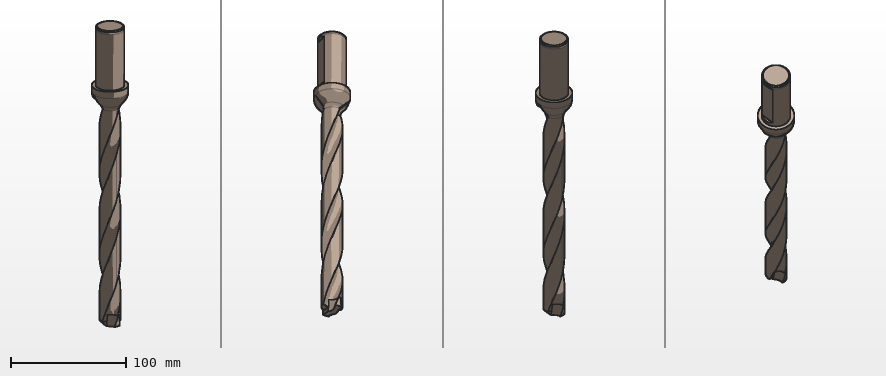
import cadquery as cq
import math

TOTAL_LENGTH = 282.0
FLANGE_TOP = 226.5
FLANGE_RIM_BOTTOM = 220.5
FLUTE_TOP = 206.1
BODY_RIM = 6.8
INSERT_TOP = 12.0
INSERT_CORNER = 2.8

SHANK_DIAMETER = 25.0
FLANGE_DIAMETER = 32.0
BODY_DIAMETER = 18.5
INSERT_DIAMETER = 20.0

SHANK_CHAMFER = 1.0
LEAD_IN_LENGTH = 2.8
LEAD_IN_DEPTH = 0.15
FLAT_DEPTH = 1.7
FLAT_TOP = 279.0
FLAT_BOTTOM = 229.5

CONE_BOTTOM_RADIUS = 10.7
CONE_BOTTOM = 210.0
CONE_END_ANGLE = 40.0

RUNOUT_SIDES = (-1, 1)
FLUTE_PITCH = 155.7
FLUTE_RADIUS = 6.5
FLUTE_OFFSET = 9.5
FLUTE_START_ANGLE = 122.0
RUNOUT_REACH = 19.7

INSERT_THICKNESS = 8.0
BODY_POINT = 4.0

SHANK_RADIUS = SHANK_DIAMETER / 2
FLANGE_RADIUS = FLANGE_DIAMETER / 2
BODY_RADIUS = BODY_DIAMETER / 2
INSERT_RADIUS = INSERT_DIAMETER / 2


def make_blank():
    """Turned blank: pointed body, flared flange and chamfered shank."""
    cone_angle = math.radians(CONE_END_ANGLE)
    cone_slope = (math.sin(cone_angle), math.cos(cone_angle))
    lead_in_radius = SHANK_RADIUS - LEAD_IN_DEPTH
    return (
        cq.Workplane("XZ")
        .moveTo(0, BODY_POINT)
        .lineTo(BODY_RADIUS, BODY_RIM)
        .lineTo(BODY_RADIUS, FLUTE_TOP)
        .tangentArcPoint((CONE_BOTTOM_RADIUS, CONE_BOTTOM), relative=False)
        .spline([(FLANGE_RADIUS, FLANGE_RIM_BOTTOM)], tangents=[cone_slope, (0, 1)], includeCurrent=True)
        .lineTo(FLANGE_RADIUS, FLANGE_TOP)
        .lineTo(SHANK_RADIUS, FLANGE_TOP)
        .lineTo(SHANK_RADIUS, TOTAL_LENGTH - LEAD_IN_LENGTH)
        .lineTo(lead_in_radius, TOTAL_LENGTH - SHANK_CHAMFER)
        .lineTo(lead_in_radius - SHANK_CHAMFER, TOTAL_LENGTH)
        .lineTo(0, TOTAL_LENGTH)
        .close()
        .revolve(360, (0, 0), (0, 1))
    )


def make_shank_flat():
    """Cutter for the clamping flat on the +Y side, with 45 degree ends."""
    floor = SHANK_RADIUS - FLAT_DEPTH
    return (
        cq.Workplane("YZ")
        .moveTo(SHANK_RADIUS, FLAT_BOTTOM)
        .lineTo(floor, FLAT_BOTTOM + FLAT_DEPTH)
        .lineTo(floor, FLAT_TOP - FLAT_DEPTH)
        .lineTo(SHANK_RADIUS, FLAT_TOP)
        .close()
        .extrude(SHANK_RADIUS, both=True)
    )


def make_flute(start_angle, runout_side):
    """Cutters for one helical flute and for its run-out, a channel rising at 45 degrees along Y."""
    twist = 360 * FLUTE_TOP / FLUTE_PITCH
    start = math.radians(start_angle)
    helix = (
        cq.Workplane("XY")
        .pushPoints([(FLUTE_OFFSET * math.cos(start), FLUTE_OFFSET * math.sin(start))])
        .circle(FLUTE_RADIUS)
        .twistExtrude(FLUTE_TOP, twist)
    )
    end = math.radians(start_angle + twist)
    center = cq.Vector(FLUTE_OFFSET * math.cos(end), FLUTE_OFFSET * math.sin(end), FLUTE_TOP)
    section = cq.Wire.makeCircle(FLUTE_RADIUS, center, cq.Vector(0, 0, 1))
    rise = cq.Vector(0, runout_side * RUNOUT_REACH, RUNOUT_REACH)
    runout = cq.Workplane(cq.Solid.extrudeLinear(section, [], rise))
    return [helix, runout]


def make_insert_blank():
    """Flat cutting insert before fluting: a slice across a pointed cylinder."""
    pointed = (
        cq.Workplane("XZ")
        .polyline([(0, 0), (INSERT_RADIUS, INSERT_CORNER), (INSERT_RADIUS, INSERT_TOP), (0, INSERT_TOP)])
        .close()
        .revolve(360, (0, 0), (0, 1))
    )
    return pointed.intersect(make_insert_slot())


def make_insert_slot():
    """Slot across the body tip that the insert fills."""
    return cq.Workplane("XY").box(
        INSERT_DIAMETER, INSERT_THICKNESS, INSERT_TOP, centered=(True, True, False)
    )


holder = make_blank().cut(make_shank_flat()).cut(make_insert_slot())
insert = make_insert_blank()
for index, side in enumerate(RUNOUT_SIDES):
    for cutter in make_flute(FLUTE_START_ANGLE + index * 360 / len(RUNOUT_SIDES), side):
        holder = holder.cut(cutter)
        insert = insert.cut(cutter)

result = cq.Compound.makeCompound([holder.val(), insert.val()])